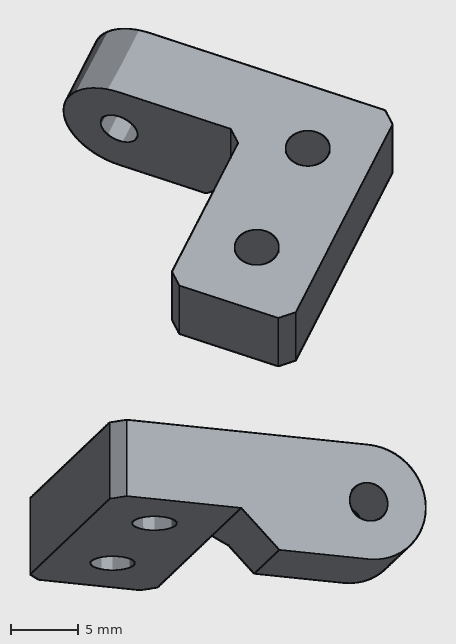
import cadquery as cq

length = 24.5
depth = 21.0
height = 9.0

arm_width = 6.0
leg_width = 10.0
corner_chamfer = 1.0
leg_left = length - leg_width
arm_front = depth - arm_width

leg_thickness = 6.0
end_radius = height / 2
leg_bottom = height - leg_thickness
slope_start = leg_left - leg_bottom

pivot_hole_diameter = 3.0
mount_hole_diameter = 3.3
mount_hole_spacing = 10.0
mount_hole_x = length - leg_width / 2


def plan_prism():
    """L-shaped outline with chamfered outer corners and a filled inner corner."""
    return (
        cq.Workplane("XY")
        .moveTo(0, depth)
        .lineTo(length - corner_chamfer, depth)
        .lineTo(length, depth - corner_chamfer)
        .lineTo(length, corner_chamfer)
        .lineTo(length - corner_chamfer, 0)
        .lineTo(leg_left + corner_chamfer, 0)
        .lineTo(leg_left, corner_chamfer)
        .lineTo(leg_left, arm_front - corner_chamfer)
        .lineTo(leg_left - corner_chamfer, arm_front)
        .lineTo(0, arm_front)
        .close()
        .extrude(height)
    )


def side_prism():
    """Side outline, running through the full depth along +Y."""
    return (
        cq.Workplane("XZ")
        .moveTo(end_radius, height)
        .lineTo(length, height)
        .lineTo(length, leg_bottom)
        .lineTo(leg_left, leg_bottom)
        .lineTo(slope_start, 0)
        .lineTo(end_radius, 0)
        .threePointArc((0, end_radius), (end_radius, height))
        .close()
        .extrude(-depth)
    )


def pivot_hole():
    """Hole through the arm, concentric with its rounded end."""
    return (
        cq.Workplane("XZ")
        .center(end_radius, end_radius)
        .circle(pivot_hole_diameter / 2)
        .extrude(-depth)
    )


def mount_holes():
    """Two vertical through holes, centred on the leg."""
    offset = mount_hole_spacing / 2
    return (
        cq.Workplane("XY")
        .center(mount_hole_x, depth / 2)
        .pushPoints([(0, -offset), (0, offset)])
        .circle(mount_hole_diameter / 2)
        .extrude(height)
    )


result = plan_prism().intersect(side_prism()).cut(pivot_hole()).cut(mount_holes())